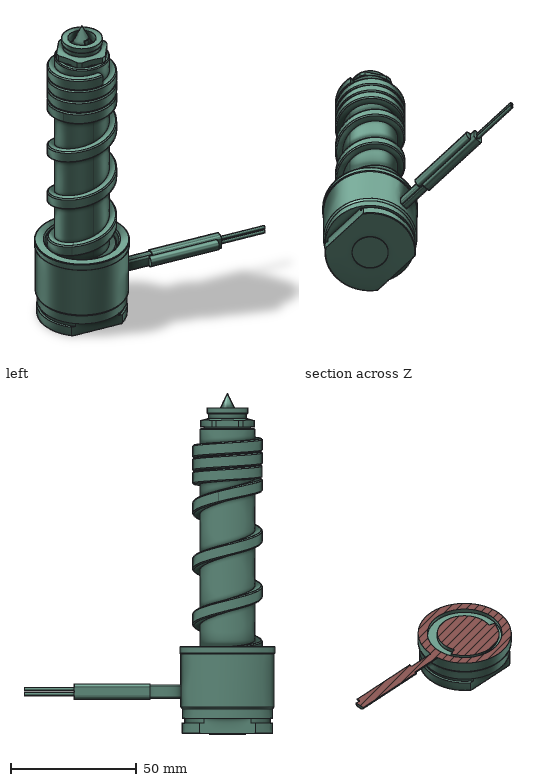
import cadquery as cq
import math

tip_z = 136.2
housing_top_z = 35.2
tube_top_z = 122.1

pad_radius = 7.2
pad_height = 0.4
base_radius = 18.1
base_top_z = 4.6
neck_radius = 17.1
neck_top_z = 6.5
ring_radius = 18.0
ring_top_z = 10.2
body_radius = 18.65
body_bottom_z = 11.1
rim_radius = 19.0
rim_height = 3.0
edge_chamfer = 0.3
flat_half_width = 14.25
bore_radius = 14.8
bore_chamfer = 0.6

tube_radius = 11.0
tube_chamfer = 0.4

nut_bottom_z = 122.85
nut_apothem = 9.74
nut_corner_radius = 10.73
collar_radius = 9.3
cone_top_radius = 7.9
cone_top_z = 126.15
cone_bottom_z = 125.3
head_neck_radius = 7.6
head_bottom_z = 128.0
head_top_z = 130.4
head_radius = 8.13
head_chamfer = 0.3
cup_radius = 5.6
skirt_bottom_z = 126.0
needle_radius = 3.4
needle_cone_height = 7.0
needle_core_radius = 2.5
slot_outer_radius = 3.6
needle_slot_angle = 30.0
needle_slot_span = 70.0

wire_height = 5.0
spring_radius = 13.9
wire_overlap = 0.5
wire_chamfer = 0.5
closed_pitch = 5.3
open_pitch = 22.2
spring_end_angle = 12.0
spring_top_z = 119.7
closed_sweep = 1149.0
transition_sweep = 138.0
open_sweep = 926.5
points_per_turn = 24

cable_z = 17.15
cable_start_y = 17.0
main_cable_x = -1.4
cable_width = 2.75
main_cable_height = 5.4
second_cable_height = 4.6
cable_corner = 0.7
second_cable_x = -0.5
sleeve_width = 4.2
main_sleeve_height = 6.2
second_sleeve_height = 4.5
main_sleeve_x = -1.48
main_sleeve_corner = 1.3
main_sleeve_start_y = 30.9
main_sleeve_end_y = 61.2
second_sleeve_x = 0.8
second_sleeve_corner = 2.05
second_sleeve_start_y = 29.2
second_sleeve_end_y = 59.1
lead_radius = 0.7
lead_spacing = 2.0
lead_end_y = 81.0


def coil_drops():
    """Height lost over one closed end, one transition and the open middle."""
    closed_drop = closed_pitch * closed_sweep / 360
    transition_drop = (closed_pitch + open_pitch) / 2 * transition_sweep / 360
    open_drop = open_pitch * open_sweep / 360
    return closed_drop, transition_drop, open_drop


spring_height = 2 * sum(coil_drops()[:2]) + coil_drops()[2] + wire_height
bore_floor_z = spring_top_z - spring_height + wire_overlap


def disc(radius, bottom_z, top_z):
    return cq.Workplane("XY").workplane(offset=bottom_z).circle(radius).extrude(top_z - bottom_z)


def revolve_outline(outline):
    return cq.Workplane("XZ").polyline(outline).close().revolve(360, (0, 0, 0), (0, 1, 0))


def make_housing():
    rim_bottom_z = housing_top_z - rim_height
    outline = [
        (0, 0),
        (pad_radius, 0),
        (pad_radius, pad_height),
        (base_radius - edge_chamfer, pad_height),
        (base_radius, pad_height + edge_chamfer),
        (base_radius, base_top_z),
        (neck_radius, base_top_z),
        (neck_radius, neck_top_z),
        (ring_radius, neck_top_z),
        (ring_radius, ring_top_z),
        (body_radius, body_bottom_z),
        (body_radius, rim_bottom_z),
        (rim_radius, rim_bottom_z + edge_chamfer),
        (rim_radius, housing_top_z - edge_chamfer),
        (rim_radius - edge_chamfer, housing_top_z),
        (bore_radius + bore_chamfer, housing_top_z),
        (bore_radius, housing_top_z - bore_chamfer),
        (bore_radius, bore_floor_z),
        (0, bore_floor_z),
    ]
    housing = revolve_outline(outline)
    cut_width = base_radius - flat_half_width
    for side in (-1, 1):
        flat_cut = cq.Workplane("XY").box(cut_width, 2 * base_radius, neck_top_z, centered=(True, True, False))
        housing = housing.cut(flat_cut.translate((side * (flat_half_width + cut_width / 2), 0, 0)))
    return housing


def make_tube():
    tube = disc(tube_radius, bore_floor_z, tube_top_z)
    return tube.faces(">Z").chamfer(tube_chamfer)


def make_nut():
    hexagon = (
        cq.Workplane("XY")
        .workplane(offset=nut_bottom_z)
        .polygon(6, 2 * nut_apothem, circumscribed=True)
        .extrude(cone_top_z - nut_bottom_z)
    )
    blank_outline = [
        (0, nut_bottom_z),
        (nut_corner_radius, nut_bottom_z),
        (nut_corner_radius, cone_bottom_z),
        (cone_top_radius, cone_top_z),
        (0, cone_top_z),
    ]
    return hexagon.intersect(revolve_outline(blank_outline))


def make_needle_slot(angle):
    """Flow slot that leaves only the round core of the needle over part of its turn."""
    outline = [
        (needle_core_radius, skirt_bottom_z),
        (slot_outer_radius, skirt_bottom_z),
        (slot_outer_radius, head_top_z),
        (needle_core_radius, head_top_z),
    ]
    slot = cq.Workplane("XZ").polyline(outline).close().revolve(needle_slot_span, (0, 0, 0), (0, 1, 0))
    start_angle = angle - needle_slot_span / 2
    return slot.rotate((0, 0, 0), (0, 0, 1), start_angle)


def make_head():
    needle_shoulder_z = tip_z - needle_cone_height
    outline = [
        (0, tube_top_z),
        (collar_radius, tube_top_z),
        (collar_radius, nut_bottom_z),
        (head_neck_radius, nut_bottom_z),
        (head_neck_radius, head_bottom_z),
        (head_radius - head_chamfer, head_bottom_z),
        (head_radius, head_bottom_z + head_chamfer),
        (head_radius, head_top_z),
        (cup_radius, head_top_z),
        (cup_radius, skirt_bottom_z),
        (needle_radius, needle_shoulder_z),
        (0, tip_z),
    ]
    head = revolve_outline(outline)
    for angle in (needle_slot_angle, needle_slot_angle + 180):
        head = head.cut(make_needle_slot(angle))
    return head


def make_coil(start_angle, start_z, sweep_angle, start_pitch, end_pitch):
    """Wind one stretch of wire downwards while its pitch changes evenly."""
    inner_radius = tube_radius - wire_overlap
    section = [
        (inner_radius, -wire_height),
        (spring_radius - wire_chamfer, -wire_height),
        (spring_radius, wire_chamfer - wire_height),
        (spring_radius, -wire_chamfer),
        (spring_radius - wire_chamfer, 0),
        (inner_radius, 0),
    ]
    point_count = math.ceil(points_per_turn * sweep_angle / 360)

    def corner_point(radius, offset_z, fraction):
        angle = math.radians(start_angle - sweep_angle * fraction)
        mean_pitch = start_pitch + (end_pitch - start_pitch) * fraction / 2
        z = start_z + offset_z - mean_pitch * sweep_angle * fraction / 360
        return cq.Vector(radius * math.cos(angle), radius * math.sin(angle), z)

    def corner_curve(radius, offset_z):
        fractions = [i / point_count for i in range(point_count + 1)]
        return cq.Edge.makeSpline([corner_point(radius, offset_z, f) for f in fractions])

    curves = [corner_curve(radius, offset_z) for radius, offset_z in section]
    faces = [cq.Face.makeRuledSurface(curves[i - 1], curves[i]) for i in range(len(curves))]
    for fraction in (0, 1):
        corners = [corner_point(radius, offset_z, fraction) for radius, offset_z in section]
        faces.append(cq.Face.makeFromWires(cq.Wire.makePolygon(corners, close=True)))
    return cq.Solid.makeSolid(cq.Shell.makeShell(faces)).fix()


def spring_coils():
    closed_drop, transition_drop, open_drop = coil_drops()
    stretches = [
        (closed_sweep, closed_pitch, closed_pitch, closed_drop),
        (transition_sweep, closed_pitch, open_pitch, transition_drop),
        (open_sweep, open_pitch, open_pitch, open_drop),
        (transition_sweep, open_pitch, closed_pitch, transition_drop),
        (closed_sweep, closed_pitch, closed_pitch, closed_drop),
    ]
    coils = []
    angle = spring_end_angle
    z = spring_top_z
    for sweep_angle, start_pitch, end_pitch, drop in stretches:
        coils.append(make_coil(angle, z, sweep_angle, start_pitch, end_pitch))
        angle -= sweep_angle
        z -= drop
    return coils


def bar_along_y(x, width, height, corner, start_y, end_y):
    bar = cq.Workplane("XY").box(width, end_y - start_y, height).edges("|Y").fillet(corner)
    return bar.translate((x, (start_y + end_y) / 2, cable_z))


def make_main_cable():
    cable = bar_along_y(
        main_cable_x, cable_width, main_cable_height, cable_corner, cable_start_y, main_sleeve_end_y
    )
    sleeve = bar_along_y(
        main_sleeve_x, sleeve_width, main_sleeve_height, main_sleeve_corner,
        main_sleeve_start_y, main_sleeve_end_y,
    )
    cable = cable.union(sleeve)
    for side in (-1, 1):
        lead = (
            cq.Workplane("XZ", origin=(main_cable_x, main_sleeve_start_y, cable_z))
            .center(0, side * lead_spacing / 2)
            .circle(lead_radius)
            .extrude(main_sleeve_start_y - lead_end_y)
        )
        cable = cable.union(lead)
    return cable


def make_second_cable():
    cable = bar_along_y(
        second_cable_x, cable_width, second_cable_height, cable_corner, cable_start_y, second_sleeve_end_y
    )
    sleeve = bar_along_y(
        second_sleeve_x, sleeve_width, second_sleeve_height, second_sleeve_corner,
        second_sleeve_start_y, second_sleeve_end_y,
    )
    return cable.union(sleeve)


result = make_housing().union(make_tube()).union(make_head()).union(make_nut())
result = result.union(make_main_cable()).union(make_second_cable())
for coil in spring_coils():
    result = result.union(coil)